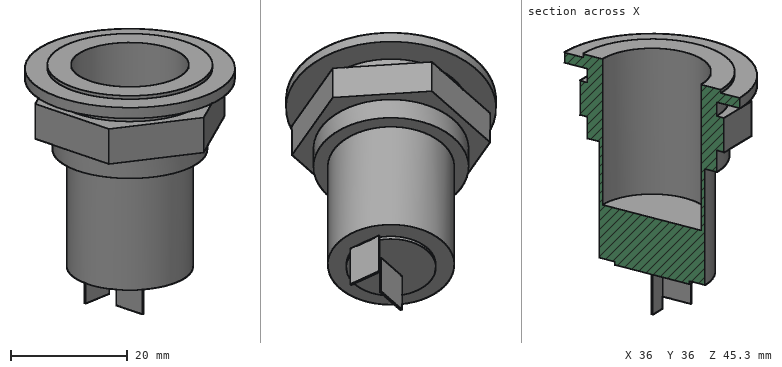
import cadquery as cq

total_height = 45.3
rim_height = 0.65
flange_height = 2.0
collar_height = 13.0
barrel_height = 21.65
base_height = 0.6

rim_top = total_height
flange_top = rim_top - rim_height
collar_top = flange_top - flange_height
barrel_top = collar_top - collar_height
base_top = barrel_top - barrel_height
blade_top = base_top - base_height

rim_diameter = 28.3
flange_diameter = 36.0
collar_diameter = 26.6
barrel_diameter = 21.7
base_diameter = 15.35

socket_diameter = 20.2
socket_depth = 27.2

nut_across_corners = 34.1
nut_height = 6.5
nut_top = collar_top - 2.5

blade_width = 6.02
blade_thickness = 0.3
side_blade_x = -7.6
blade_root = 0.45


def disc(diameter, top, height):
    """Solid cylinder on the main axis, extending down from top."""
    return cq.Workplane("XY").workplane(offset=top - height).circle(diameter / 2).extrude(height)


def blade(size_x, size_y, x, y):
    """Terminal blade reaching from inside the base disc down to z = 0."""
    return (
        cq.Workplane("XY")
        .center(x, y)
        .rect(size_x, size_y)
        .extrude(blade_top + blade_root)
    )


body = disc(rim_diameter, rim_top, rim_height)
body = body.union(disc(flange_diameter, flange_top, flange_height))
body = body.union(disc(collar_diameter, collar_top, collar_height))
body = body.union(disc(barrel_diameter, barrel_top, barrel_height))
body = body.union(disc(base_diameter, base_top, base_height))

nut = (
    cq.Workplane("XY")
    .workplane(offset=nut_top - nut_height)
    .polygon(6, nut_across_corners)
    .extrude(nut_height)
)
body = body.union(nut)

body = body.cut(disc(socket_diameter, rim_top, socket_depth))

body = body.union(blade(blade_thickness, blade_width, side_blade_x, 0))
body = body.union(blade(blade_width, blade_thickness, 0, 0))

result = body